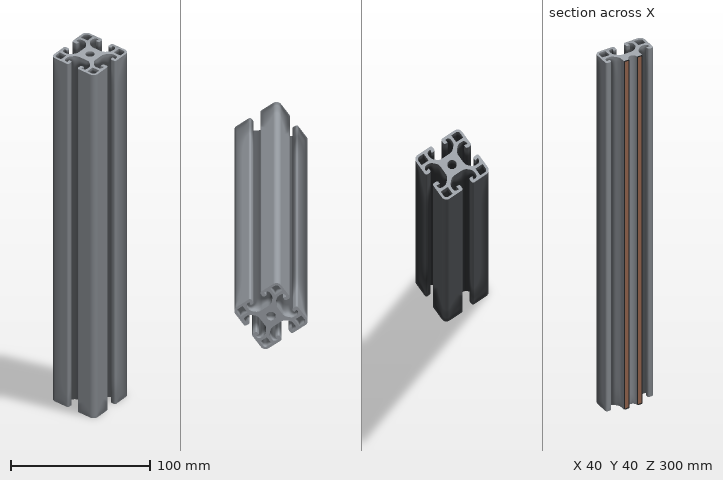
import cadquery as cq
import math

side = 40.0
length = 300.0
corner_radius = 4.0

core_half = 7.7
bore_diameter = 6.8
web_thickness = 3.0
web_root_radius = 5.6
web_tip_radius = 4.5

slot_opening = 8.0
slot_half_width = 10.0
slot_corner_radius = 2.5
lip_thickness = 2.0
lip_edge_radius = 1.5

hook_root_width = 2.4
hook_tip_width = 3.0
hook_depth = 4.6
hook_tip_radius = 1.3

hollow_wall = 1.8
hollow_inner = 12.1

half = side / 2
lip_half = slot_opening / 2
under_lip = half - lip_thickness
hook_tip = half - hook_depth
DIAGONAL = math.sqrt(0.5)
WEB_ANGLE = math.radians(45)

web_offset = web_thickness / 2 / DIAGONAL
web_root_tangent = web_root_radius * math.tan(WEB_ANGLE / 2)
floor_half = core_half - web_offset - web_root_tangent
web_root_end = (
    floor_half + web_root_radius * DIAGONAL,
    core_half + web_root_radius * (1 - DIAGONAL),
)
web_tip_x = slot_half_width - web_tip_radius * (1 - DIAGONAL)
web_tip_start = (web_tip_x, web_tip_x + web_offset)
web_tip_end = (slot_half_width, web_tip_start[1] + web_tip_radius * DIAGONAL)


def quarter_arc(path, center, radius, toward, end):
    """Continue a path with a quarter arc whose middle lies diagonally from its center."""
    middle = (
        center[0] + toward[0] * radius * DIAGONAL,
        center[1] + toward[1] * radius * DIAGONAL,
    )
    return path.threePointArc(middle, end)


def half_slot():
    """Right half of the slot that opens toward +Y, from the center plane outward."""
    path = cq.Workplane("XY").moveTo(0, core_half).lineTo(floor_half, core_half)

    path = path.tangentArcPoint(web_root_end, relative=False)
    path = path.lineTo(*web_tip_start).tangentArcPoint(web_tip_end, relative=False)
    wall_top = under_lip - slot_corner_radius
    ceiling_end = slot_half_width - slot_corner_radius
    path = path.lineTo(slot_half_width, wall_top)
    path = quarter_arc(
        path, (ceiling_end, wall_top), slot_corner_radius, (1, 1), (ceiling_end, under_lip)
    )

    path = path.lineTo(lip_half + hook_root_width, under_lip)
    path = path.lineTo(lip_half + hook_tip_width, hook_tip)
    tip_x = lip_half + hook_tip_radius
    tip_y = hook_tip + hook_tip_radius
    path = path.lineTo(tip_x, hook_tip)
    path = quarter_arc(path, (tip_x, tip_y), hook_tip_radius, (-1, -1), (lip_half, tip_y))

    edge_x = lip_half + lip_edge_radius
    edge_y = half - lip_edge_radius
    path = path.lineTo(lip_half, edge_y)
    path = quarter_arc(path, (edge_x, edge_y), lip_edge_radius, (-1, 1), (edge_x, half))
    return path.lineTo(0, half).close().extrude(length)


def slot():
    """Full slot that opens toward +Y."""
    right = half_slot()
    return right.union(right.mirror("YZ"))


def corner_hollow():
    """Closed channel in the +X +Y corner, its outer corner concentric with the bar's."""
    size = half - hollow_wall - hollow_inner
    hollow = cq.Workplane("XY").box(size, size, length, centered=False)
    hollow = hollow.edges("|Z").edges(">(1, 1, 0)").fillet(corner_radius - hollow_wall)
    return hollow.translate((hollow_inner, hollow_inner, 0))


def bar():
    """Solid rounded bar with the central bore."""
    blank = cq.Workplane("XY").rect(side, side).extrude(length).edges("|Z").fillet(corner_radius)
    return blank.cut(cq.Workplane("XY").circle(bore_diameter / 2).extrude(length))


result = bar()
for quarter_turn in range(4):
    angle = 90 * quarter_turn
    result = result.cut(slot().rotate((0, 0, 0), (0, 0, 1), angle))
    result = result.cut(corner_hollow().rotate((0, 0, 0), (0, 0, 1), angle))